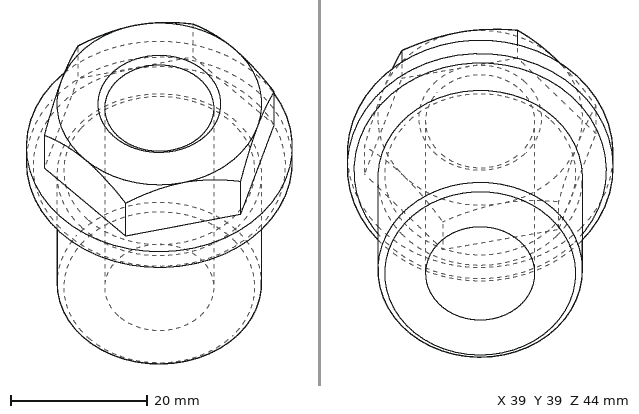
import cadquery as cq
import math

total_height = 44.0
flange_diameter = 39.0
flange_thickness = 4.8
flange_chamfer = 1.0
shank_diameter = 30.0
shank_length = 27.0
shank_chamfer = 1.0
groove_radius = 1.0
hex_sides = 6
hex_across_flats = 30.0
hex_chamfer_angle = 45.0
bore_diameter = 16.0
bore_chamfer = 1.0

flange_bottom = shank_length + 2 * groove_radius
flange_top = flange_bottom + flange_thickness
hex_height = total_height - flange_top
hex_across_corners = hex_across_flats / math.cos(math.pi / hex_sides)


def make_shank_and_flange():
    """Turned body: shank, round undercut groove below the flange, and flange."""
    shank_radius = shank_diameter / 2
    flange_radius = flange_diameter / 2
    groove_middle = shank_length + groove_radius
    groove_floor_radius = shank_radius - groove_radius
    profile = (
        cq.Workplane("XZ")
        .moveTo(0, 0)
        .lineTo(shank_radius - shank_chamfer, 0)
        .lineTo(shank_radius, shank_chamfer)
        .lineTo(shank_radius, shank_length)
        .threePointArc((groove_floor_radius, groove_middle), (shank_radius, flange_bottom))
        .lineTo(flange_radius - flange_chamfer, flange_bottom)
        .lineTo(flange_radius, flange_bottom + flange_chamfer)
        .lineTo(flange_radius, flange_top)
        .lineTo(0, flange_top)
        .close()
    )
    return profile.revolve(360, (0, 0, 0), (0, 1, 0))


def make_hex_head():
    """Hexagon with corners on the X axis, its top corners bevelled by a cone."""
    hexagon = (
        cq.Workplane("XY")
        .workplane(offset=flange_top)
        .polygon(hex_sides, hex_across_corners)
        .extrude(hex_height)
    )
    top_radius = hex_across_flats / 2
    cone_slope = math.tan(math.radians(hex_chamfer_angle))
    base_radius = top_radius + hex_height / cone_slope
    base_center = cq.Vector(0, 0, flange_top)
    cone = cq.Workplane(cq.Solid.makeCone(base_radius, top_radius, hex_height, base_center))
    return hexagon.intersect(cone)


def make_bore():
    """Through bore with a chamfered mouth at the top."""
    bore_radius = bore_diameter / 2
    mouth_radius = bore_radius + bore_chamfer
    bore = cq.Workplane("XY").circle(bore_radius).extrude(total_height)
    mouth_bottom = cq.Vector(0, 0, total_height - bore_chamfer)
    mouth = cq.Workplane(cq.Solid.makeCone(bore_radius, mouth_radius, bore_chamfer, mouth_bottom))
    return bore.union(mouth)


result = make_shank_and_flange().union(make_hex_head()).cut(make_bore())